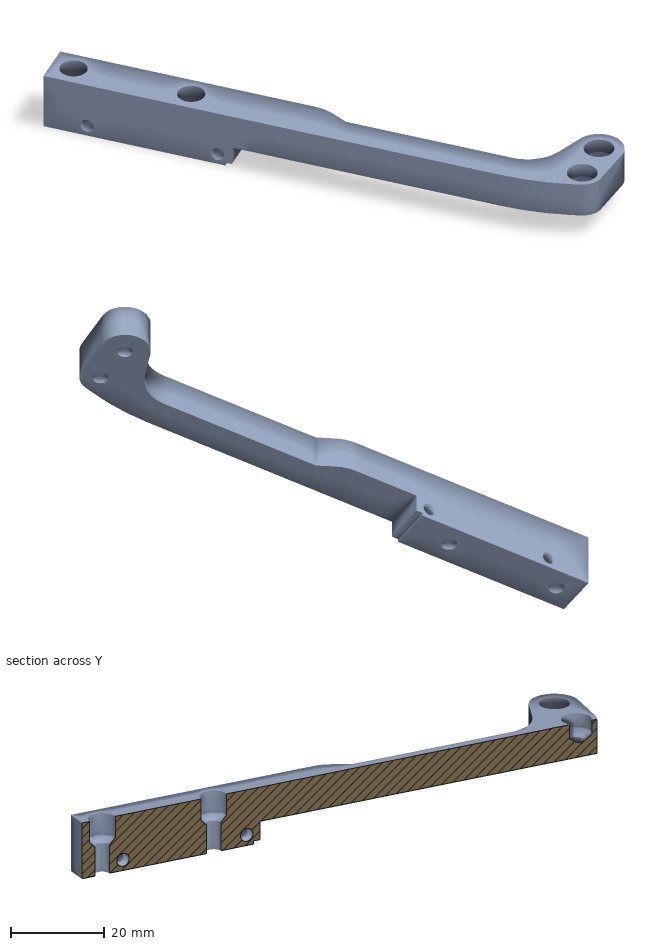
import cadquery as cq
import math

HEIGHT = 13.0
BLOCK_WIDTH = 10.0
BLOCK_LENGTH = 43.25
END_STEP_LENGTH = 1.5
END_STEP_HEIGHT = 0.75
ARM_THICKNESS = 8.0
ARM_WIDTH = 7.0

TAPER_START = 58.5
TAPER_RADIUS = 10.0
TAPER_SLOPE = math.radians(27)

BEND_START = 105.0
INNER_BEND_RADIUS = 9.0
OUTER_BEND_RADIUS = 56.0
HEAD_X = 121.0
LOWER_BOSS = (HEAD_X, 7.0)
LOWER_BOSS_RADIUS = 4.5
UPPER_BOSS = (HEAD_X, 17.0)
UPPER_BOSS_RADIUS = 5.5

SCREW_DIAMETER = 3.4
BLOCK_HEAD_DIAMETER = 6.1
BLOCK_SCREWS = [(5.0, BLOCK_WIDTH / 2), (32.0, BLOCK_WIDTH / 2)]
BLOCK_HEAD_DEPTH = 5.0
BOSS_HEAD_DIAMETER = 6.6
BOSS_HEAD_DEPTH = 3.2
CONE_ANGLE = math.radians(90)

THREAD_MINOR_DIAMETER = 2.52
THREAD_MAJOR_DIAMETER = 3.0
THREAD_PITCH = 0.5
THREAD_Z = 2.5
THREAD_XS = [10.0, 40.0]


def circle_point(center, radius, angle):
    return (center[0] + radius * math.cos(angle), center[1] + radius * math.sin(angle))


def tangent_normal(start, end, radius_change):
    """Angle of the radius that points at the touch point of a line tangent to two circles.

    start and end are the circle centers, and the line runs on the right of the
    path between them. radius_change is the start radius minus the end radius;
    for a line that crosses between the circles it is the sum of both radii.
    """
    dx = end[0] - start[0]
    dy = end[1] - start[1]
    return math.atan2(dy, dx) - math.acos(radius_change / math.hypot(dx, dy))


def top_outline():
    """Counterclockwise outline of the top plate, which is both block top and arm."""
    outer_center = (BEND_START, OUTER_BEND_RADIUS)
    inner_center = (BEND_START, ARM_WIDTH + INNER_BEND_RADIUS)

    down = -math.pi / 2
    bottom = tangent_normal(outer_center, LOWER_BOSS, OUTER_BEND_RADIUS - LOWER_BOSS_RADIUS)
    right = tangent_normal(LOWER_BOSS, UPPER_BOSS, LOWER_BOSS_RADIUS - UPPER_BOSS_RADIUS)
    left = tangent_normal(UPPER_BOSS, inner_center, UPPER_BOSS_RADIUS + INNER_BEND_RADIUS)
    left = left % (2 * math.pi)
    inner_end = left - math.pi

    taper_center = (TAPER_START, BLOCK_WIDTH - TAPER_RADIUS)
    taper_mid = circle_point(taper_center, TAPER_RADIUS, math.pi / 2 - TAPER_SLOPE / 2)
    taper_low = circle_point(taper_center, TAPER_RADIUS, math.pi / 2 - TAPER_SLOPE)
    taper_end_x = taper_low[0] + (taper_low[1] - ARM_WIDTH) / math.tan(TAPER_SLOPE)

    return (
        cq.Workplane("XY")
        .lineTo(BEND_START, 0)
        .threePointArc(
            circle_point(outer_center, OUTER_BEND_RADIUS, (down + bottom) / 2),
            circle_point(outer_center, OUTER_BEND_RADIUS, bottom),
        )
        .lineTo(*circle_point(LOWER_BOSS, LOWER_BOSS_RADIUS, bottom))
        .threePointArc(
            circle_point(LOWER_BOSS, LOWER_BOSS_RADIUS, (bottom + right) / 2),
            circle_point(LOWER_BOSS, LOWER_BOSS_RADIUS, right),
        )
        .lineTo(*circle_point(UPPER_BOSS, UPPER_BOSS_RADIUS, right))
        .threePointArc(
            circle_point(UPPER_BOSS, UPPER_BOSS_RADIUS, (right + left) / 2),
            circle_point(UPPER_BOSS, UPPER_BOSS_RADIUS, left),
        )
        .lineTo(*circle_point(inner_center, INNER_BEND_RADIUS, inner_end))
        .threePointArc(
            circle_point(inner_center, INNER_BEND_RADIUS, (inner_end + down) / 2),
            (BEND_START, ARM_WIDTH),
        )
        .lineTo(taper_end_x, ARM_WIDTH)
        .lineTo(*taper_low)
        .threePointArc(taper_mid, (TAPER_START, BLOCK_WIDTH))
        .lineTo(0, BLOCK_WIDTH)
        .close()
    )


def make_top_plate():
    return top_outline().extrude(ARM_THICKNESS).translate((0, 0, HEIGHT - ARM_THICKNESS))


def make_block():
    """Lower part of the handle block, with a small step under its far end."""
    step_x = BLOCK_LENGTH - END_STEP_LENGTH
    profile = (
        cq.Workplane("XZ")
        .lineTo(step_x, 0)
        .lineTo(step_x, END_STEP_HEIGHT)
        .lineTo(BLOCK_LENGTH, END_STEP_HEIGHT)
        .lineTo(BLOCK_LENGTH, HEIGHT - ARM_THICKNESS)
        .lineTo(0, HEIGHT - ARM_THICKNESS)
        .close()
    )
    return profile.extrude(-BLOCK_WIDTH)


def screw_hole(position, head_diameter, head_depth):
    """Through hole with a counterbore whose floor is a cone."""
    cone_top = HEIGHT - head_depth
    cone_depth = (head_diameter - SCREW_DIAMETER) / 2 / math.tan(CONE_ANGLE / 2)
    profile = (
        cq.Workplane("XZ")
        .lineTo(SCREW_DIAMETER / 2, 0)
        .lineTo(SCREW_DIAMETER / 2, cone_top - cone_depth)
        .lineTo(head_diameter / 2, cone_top)
        .lineTo(head_diameter / 2, HEIGHT)
        .lineTo(0, HEIGHT)
        .close()
    )
    return profile.revolve(360, (0, 0, 0), (0, 1, 0)).translate((*position, 0))


def threaded_hole(x):
    """Through hole along Y whose thread is simplified to a row of V-shaped ring grooves."""
    minor_radius = THREAD_MINOR_DIAMETER / 2
    major_radius = THREAD_MAJOR_DIAMETER / 2
    profile = cq.Workplane("XY").lineTo(major_radius, 0)
    for turn in range(round(BLOCK_WIDTH / THREAD_PITCH)):
        groove = turn * THREAD_PITCH
        profile = profile.lineTo(minor_radius, groove + THREAD_PITCH / 2)
        profile = profile.lineTo(major_radius, groove + THREAD_PITCH)
    profile = profile.lineTo(0, BLOCK_WIDTH).close()
    return profile.revolve(360, (0, 0, 0), (0, 1, 0)).translate((x, 0, THREAD_Z))


result = make_top_plate().union(make_block())
for screw in BLOCK_SCREWS:
    result = result.cut(screw_hole(screw, BLOCK_HEAD_DIAMETER, BLOCK_HEAD_DEPTH))
for boss in (LOWER_BOSS, UPPER_BOSS):
    result = result.cut(screw_hole(boss, BOSS_HEAD_DIAMETER, BOSS_HEAD_DEPTH))
for hole_x in THREAD_XS:
    result = result.cut(threaded_hole(hole_x))